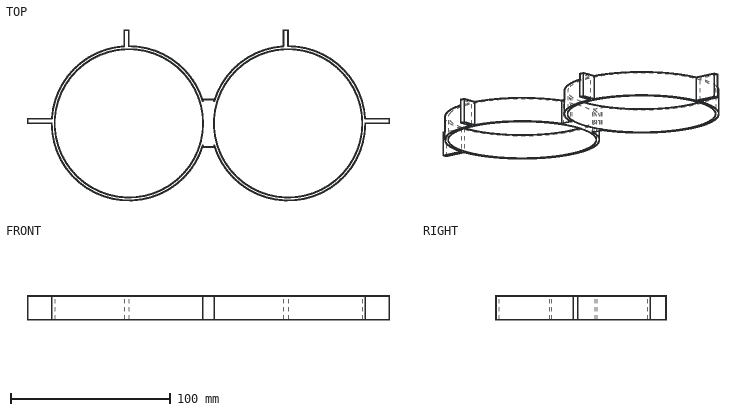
import cadquery as cq

length = 227.0
depth = 107.0
height = 15.0

ring_outer_diameter = 97.0
wall = 2.0
ring_gap = 3.0
ring_spacing = ring_outer_diameter + ring_gap
ring_outer_radius = ring_outer_diameter / 2
ring_inner_radius = ring_outer_radius - wall

bridge_width = ring_spacing - 2 * ring_inner_radius
bridge_depth = 30.0

tab_thickness = 3.0
back_tab_end = depth - ring_outer_radius
side_tab_end = length / 2
tab_root = ring_outer_radius - wall / 2


def box(x_min, x_max, y_min, y_max):
    """Full-height block spanning the given X and Y limits."""
    block = cq.Workplane("XY").box(x_max - x_min, y_max - y_min, height, centered=False)
    return block.translate((x_min, y_min, 0))


def ring(center_x):
    """Thin-walled round hoop standing on the base plane."""
    return (
        cq.Workplane("XY")
        .center(center_x, 0)
        .circle(ring_outer_radius)
        .circle(ring_inner_radius)
        .extrude(height)
    )


def back_tab(center_x):
    """Tab pointing to +Y, with its right face on the ring's centre plane."""
    return box(center_x - tab_thickness, center_x, tab_root, back_tab_end)


def side_tab(side):
    """Tab pointing away from the bridge, with its front face on the X axis."""
    root = ring_spacing / 2 + tab_root
    x_min, x_max = sorted((side * root, side * side_tab_end))
    return box(x_min, x_max, 0, tab_thickness)


result = box(-bridge_width / 2, bridge_width / 2, -bridge_depth / 2, bridge_depth / 2)
for side in (-1, 1):
    center_x = side * ring_spacing / 2
    result = result.union(ring(center_x)).union(back_tab(center_x)).union(side_tab(side))